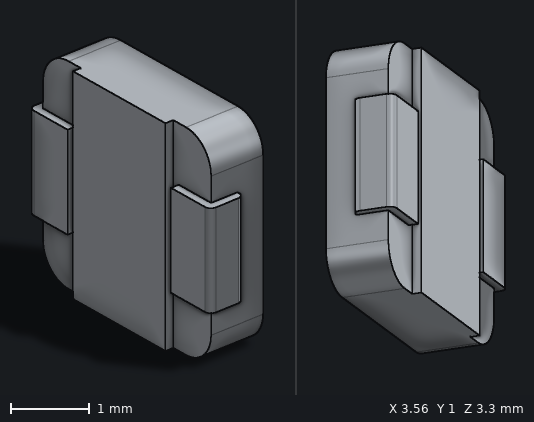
import cadquery as cq

overall_width = 3.56
overall_depth = 1.0
body_size = 3.3
body_corner_radius = 0.5
pad_width = 1.815
terminal_height = 1.52
terminal_foot_length = 0.765
terminal_side_length = 0.57
terminal_bend_radius = 0.1

terminal_thickness = (overall_width - body_size) / 2
step_depth = terminal_thickness


def box_from_front(width, depth, height, front_y):
    """Box centred in X and Z whose -Y face lies at front_y."""
    return cq.Workplane("XY").box(width, depth, height).translate((0, front_y + depth / 2, 0))


def make_body():
    """Rounded square body with the central pad standing out of its -Y face."""
    block = box_from_front(body_size, overall_depth - step_depth, body_size, step_depth)
    block = block.edges("|Y").fillet(body_corner_radius)
    pad = box_from_front(pad_width, step_depth, body_size, 0)
    return block.union(pad)


def make_left_terminal():
    """L-shaped strip: a foot under the body and a leg up its -X side."""
    outer_x = -overall_width / 2
    strip = (
        cq.Workplane("XY")
        .workplane(offset=-terminal_height / 2)
        .moveTo(outer_x, 0)
        .lineTo(outer_x + terminal_foot_length, 0)
        .lineTo(outer_x + terminal_foot_length, terminal_thickness)
        .lineTo(outer_x + terminal_thickness, terminal_thickness)
        .lineTo(outer_x + terminal_thickness, terminal_side_length)
        .lineTo(outer_x, terminal_side_length)
        .close()
        .extrude(terminal_height)
    )
    return strip.edges("|Z and <X").fillet(terminal_bend_radius)


left_terminal = make_left_terminal()
right_terminal = left_terminal.mirror("YZ")
result = make_body().union(left_terminal).union(right_terminal)